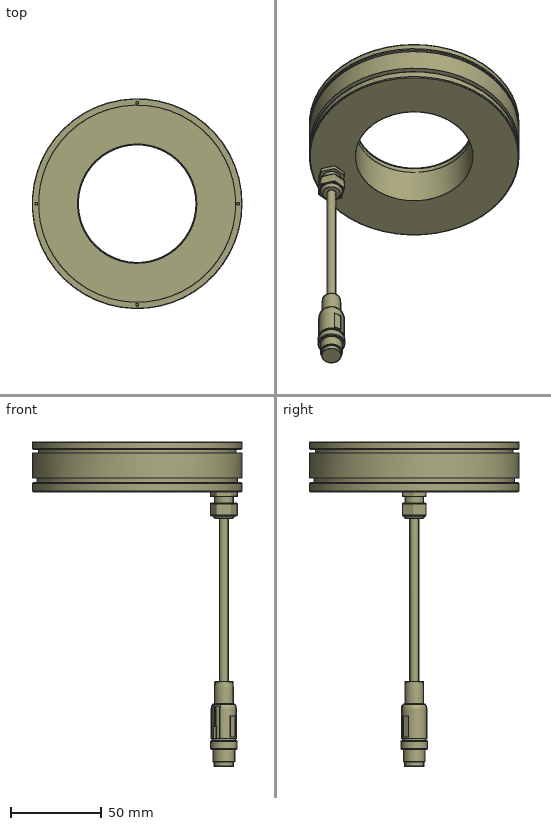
import cadquery as cq
import math


outer_diameter = 116.0
bore_diameter = 65.0
housing_height = 27.5
top_rim_thickness = 4.0
upper_groove_width = 2.0
upper_groove_diameter = 109.5
band_height = 14.0
lower_groove_width = 2.5
lower_groove_diameter = 111.0
rim_chamfer = 0.5
screw_hole_count = 4
screw_hole_diameter = 1.5
screw_hole_circle_radius = 55.8
screw_hole_depth = 2.0

window_outer_diameter = 109.0
window_inner_diameter = 66.0
window_thickness = 3.0

total_height = 179.29
cable_offset_x = 47.92
cable_diameter = 5.0

hex_across_flats = 13.2
hex_corner_radius = 1.0
gland_flange_thickness = 2.5
gland_neck_diameter = 10.5
gland_neck_length = 3.8
gland_nut_height = 7.0
gland_nut_chamfer = 0.45
gland_tip_diameter = 9.6
gland_tip_length = 1.6

sleeve_taper_length = 3.2
sleeve_length = 9.0
neck_cone_length = 0.4
shoulder_length = 2.8
grip_length = 16.2
waist_length = 1.0
coupling_length = 5.0
barrel_length = 6.8
tip_length = 2.5
connector_length = (
    sleeve_taper_length + sleeve_length + neck_cone_length + shoulder_length + grip_length
    + waist_length + coupling_length + barrel_length + tip_length
)

sleeve_top_radius = 5.0
sleeve_radius = 5.25
shoulder_top_radius = 6.1
grip_radius = 7.0
waist_radius = 6.5
coupling_radius = 7.4
coupling_chamfer = 0.5
barrel_radius = 6.05
barrel_chamfer = 0.3
tip_radius = 5.3

key_direction = 227.0
key_width = 6.0
key_radius = 7.3
key_rise_above_grip = 1.9
key_groove_width = 1.1
key_groove_depth = 0.4
key_slot_width = 2.2
key_slot_depth = 2.0
key_slot_length = 6.6
pad_height = 11.4
pad_width = 4.0
pad_distance = 7.0
pad_bottom_margin = 1.0

outer_radius = outer_diameter / 2
bore_radius = bore_diameter / 2
overlap = 1.0


def revolve_about_z(points):
    """Solid of revolution from (radius, height) points."""
    return cq.Workplane("XZ").polyline(points).close().revolve(360, (0, 0), (0, 1))


def make_housing():
    upper_groove_radius = upper_groove_diameter / 2
    lower_groove_radius = lower_groove_diameter / 2
    top_rim_bottom = housing_height - top_rim_thickness
    band_top = top_rim_bottom - upper_groove_width
    band_bottom = band_top - band_height
    base_rim_top = band_bottom - lower_groove_width
    chamfered_radius = outer_radius - rim_chamfer

    body = revolve_about_z([
        (bore_radius, 0),
        (chamfered_radius, 0),
        (outer_radius, rim_chamfer),
        (outer_radius, base_rim_top - rim_chamfer),
        (chamfered_radius, base_rim_top),
        (lower_groove_radius, base_rim_top),
        (lower_groove_radius, band_bottom),
        (outer_radius, band_bottom),
        (outer_radius, band_top),
        (upper_groove_radius, band_top),
        (upper_groove_radius, top_rim_bottom),
        (chamfered_radius, top_rim_bottom),
        (outer_radius, top_rim_bottom + rim_chamfer),
        (outer_radius, housing_height),
        (bore_radius, housing_height),
    ])
    window_recess = (
        cq.Workplane("XY", origin=(0, 0, housing_height - window_thickness))
        .circle(window_outer_diameter / 2)
        .circle(window_inner_diameter / 2)
        .extrude(window_thickness + overlap)
    )
    screw_holes = (
        cq.Workplane("XY", origin=(0, 0, housing_height - screw_hole_depth))
        .polarArray(screw_hole_circle_radius, 0, 360, screw_hole_count)
        .circle(screw_hole_diameter / 2)
        .extrude(screw_hole_depth + overlap)
    )
    return body.cut(window_recess).cut(screw_holes)


def make_window():
    return (
        cq.Workplane("XY", origin=(0, 0, housing_height - window_thickness))
        .circle(window_outer_diameter / 2)
        .circle(window_inner_diameter / 2)
        .extrude(window_thickness)
    )


def make_hexagon(bottom, height):
    """Hexagonal prism with rounded corners, two of them on the X axis."""
    across_corners = hex_across_flats / math.cos(math.radians(30))
    return (
        cq.Workplane("XY", origin=(0, 0, bottom))
        .polygon(6, across_corners)
        .extrude(height)
        .edges("|Z")
        .fillet(hex_corner_radius)
    )


def make_gland():
    """Cable gland on the Z axis, with the top of its flange at height zero."""
    neck_bottom = -gland_flange_thickness - gland_neck_length
    nut_bottom = neck_bottom - gland_nut_height
    tip_bottom = nut_bottom - gland_tip_length
    tip_base_radius = hex_across_flats / 2 - gland_nut_chamfer

    flange = make_hexagon(-gland_flange_thickness, gland_flange_thickness)
    neck = (
        cq.Workplane("XY", origin=(0, 0, neck_bottom))
        .circle(gland_neck_diameter / 2)
        .extrude(gland_neck_length)
    )
    nut = make_hexagon(nut_bottom, gland_nut_height).faces("<Z or >Z").chamfer(gland_nut_chamfer)
    tip = revolve_about_z([
        (0, tip_bottom),
        (gland_tip_diameter / 2, tip_bottom),
        (tip_base_radius, nut_bottom),
        (0, nut_bottom),
    ])
    return flange.union(neck).union(nut).union(tip)


def make_connector():
    """Plug on the Z axis with its tip at height zero and its key rib toward +X."""
    tip_top = tip_length
    barrel_top = tip_top + barrel_length
    coupling_top = barrel_top + coupling_length
    grip_bottom = coupling_top + waist_length
    grip_top = grip_bottom + grip_length
    shoulder_top = grip_top + shoulder_length
    sleeve_bottom = shoulder_top + neck_cone_length
    sleeve_taper_bottom = sleeve_bottom + sleeve_length

    lower_outline = [
        (0, 0),
        (tip_radius, 0),
        (tip_radius, tip_top),
        (barrel_radius - barrel_chamfer, tip_top),
        (barrel_radius, tip_top + barrel_chamfer),
        (barrel_radius, barrel_top),
        (coupling_radius - coupling_chamfer, barrel_top),
        (coupling_radius, barrel_top + coupling_chamfer),
        (coupling_radius, coupling_top - coupling_chamfer),
        (coupling_radius - coupling_chamfer, coupling_top),
        (waist_radius, coupling_top),
        (waist_radius, grip_bottom),
        (grip_radius, grip_bottom),
        (grip_radius, grip_top),
    ]
    body = (
        cq.Workplane("XZ")
        .polyline(lower_outline)
        .tangentArcPoint((shoulder_top_radius, shoulder_top), relative=False)
        .lineTo(sleeve_radius, sleeve_bottom)
        .lineTo(sleeve_radius, sleeve_taper_bottom)
        .lineTo(sleeve_top_radius, connector_length)
        .lineTo(0, connector_length)
        .close()
        .revolve(360, (0, 0), (0, 1))
    )

    key_height = grip_length + key_rise_above_grip
    key_base = cq.Workplane("XY", origin=(0, 0, grip_bottom))
    key_block = key_base.rect(2 * key_radius, key_width).extrude(key_height)
    front_half = key_base.center(key_radius, 0).rect(2 * key_radius, 2 * key_radius).extrude(key_height)
    key = key_base.circle(key_radius).extrude(key_height).intersect(key_block).intersect(front_half)
    body = body.union(key)

    groove = (
        cq.Workplane("XY", origin=(key_radius, 0, grip_bottom))
        .rect(2 * key_groove_depth, key_groove_width)
        .extrude(key_height)
    )
    slot = (
        cq.Workplane("XY", origin=(key_radius, 0, grip_bottom))
        .rect(2 * key_slot_depth, key_slot_width)
        .extrude(key_slot_length)
    )
    body = body.cut(groove).cut(slot)

    pads = (
        cq.Workplane("XY", origin=(0, 0, grip_bottom + pad_bottom_margin))
        .rect(pad_width, 2 * pad_distance)
        .extrude(pad_height)
    )
    return body.union(pads)


def make_cable_assembly():
    connector_top = housing_height - total_height + connector_length
    cable = cq.Workplane("XY", origin=(0, 0, connector_top)).circle(cable_diameter / 2).extrude(-connector_top)
    connector = (
        make_connector()
        .rotate((0, 0, 0), (0, 0, 1), key_direction)
        .translate((0, 0, housing_height - total_height))
    )
    assembly = cable.union(make_gland()).union(connector)
    return assembly.translate((cable_offset_x, 0, 0))


housing = make_housing()
window = make_window()
cable_assembly = make_cable_assembly()

result = cq.Compound.makeCompound([housing.val(), window.val(), cable_assembly.val()])